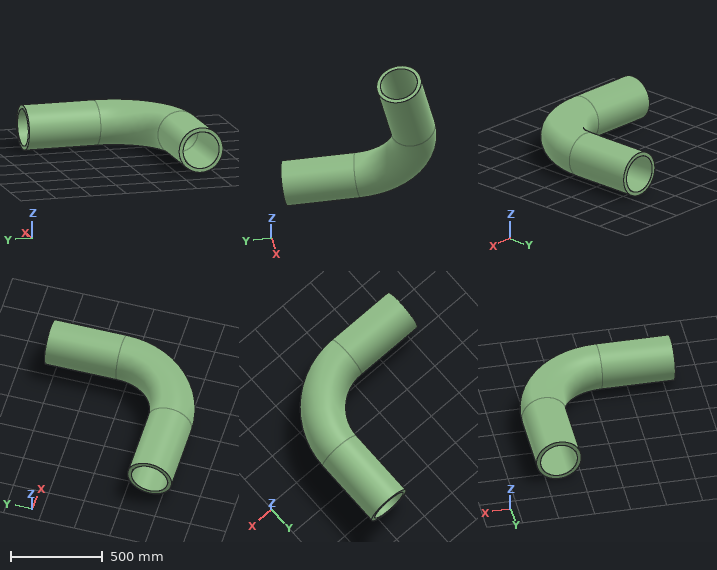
import cadquery as cq

overall_length = 905.0
outer_diameter = 250.0
inner_diameter = 204.5
bend_radius = 1.5 * outer_diameter
bend_angle = 90

leg_length = overall_length - bend_radius - outer_diameter / 2


def elbow(diameter):
    """Solid elbow: a leg along X, a bend about a Z axis, then a leg along Y."""
    leg_x = (
        cq.Workplane("YZ", origin=(-leg_length, -bend_radius, 0))
        .circle(diameter / 2)
        .extrude(leg_length)
    )
    bend = (
        cq.Workplane("YZ")
        .center(-bend_radius, 0)
        .circle(diameter / 2)
        .revolve(bend_angle, (bend_radius, 0, 0), (bend_radius, 1, 0))
    )
    leg_y = (
        cq.Workplane("XZ", origin=(bend_radius, leg_length, 0))
        .circle(diameter / 2)
        .extrude(leg_length)
    )
    return leg_x.union(bend).union(leg_y)


result = elbow(outer_diameter).cut(elbow(inner_diameter))